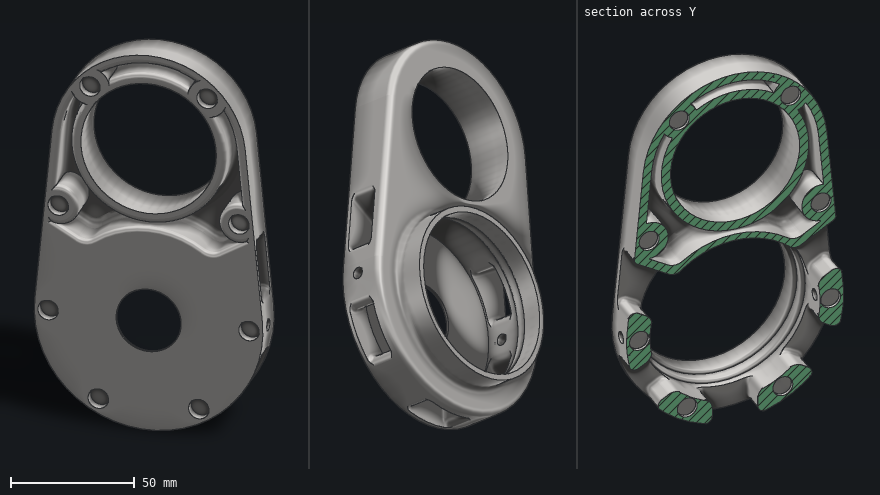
import cadquery as cq
import math

total_height = 163.6
main_diameter = 95.7
axis_spacing = 75.1
slab_depth = 20.1
total_depth = 32.0
edge_round = 3.0

main_radius = main_diameter / 2
ring_radius = total_height - main_radius - axis_spacing
ring_center = (0, axis_spacing)
side_tilt = math.asin((main_radius - ring_radius) / axis_spacing)
side_normal = (math.cos(side_tilt), math.sin(side_tilt))

front_bore_radius = 13.5
front_wall = 1.1
tube_radius = 36.8
tube_bore_radius = 34.4
bore_step = 1.5
tube_bore_start = 24.4
seat_end = 19.3
seat_radius = tube_bore_radius + bore_step
cavity_radius = seat_radius + bore_step
ring_bore_radius = 28.3

pocket_depth = 16.4
rim_width = 4.0
lip_round = 2.0
floor_round = 3.3
ring_wall_radius = 32.5
pocket_arc_radius = 40.4
pocket_corner_round = 6.0
pocket_line_angle = 30
pocket_line_offset = 13.7
boss_radius = 8.5
end_boss_radius = 8.2
boss_overlap = 0.8

screw_radius = 4.3
screw_depth = 4.3
main_bolt_circle = 42.0
ring_bolt_circle = 34.7
boss_x = 37.8
boss_z = 46.1

window_middle = 8.3
window_width = 12.8
window_half_span = 10.1
window_corner = 2.0
window_outer_round = 3.0
window_inner_round = 4.9
window_overrun = 4.9
cross_hole_radius = 2.5


def front_plane(y=0.0):
    """Workplane with local axes X and Z; negative extrusions run towards +Y."""
    return cq.Workplane("XZ", origin=(0, y, 0))


def cylinder(center, radius, y_start, y_end):
    return front_plane(y_start).center(*center).circle(radius).extrude(y_start - y_end)


def polar(radius, degrees, center=(0, 0)):
    angle = math.radians(degrees)
    return (center[0] + radius * math.cos(angle), center[1] + radius * math.sin(angle))


def mirrored(point):
    return (-point[0], point[1])


def outline_prism():
    """Two arcs joined by tangent sides, extruded to the slab depth."""
    low = (main_radius * side_normal[0], main_radius * side_normal[1])
    high = (ring_radius * side_normal[0], axis_spacing + ring_radius * side_normal[1])
    return (
        front_plane()
        .moveTo(*low)
        .lineTo(*high)
        .threePointArc((0, axis_spacing + ring_radius), mirrored(high))
        .lineTo(*mirrored(low))
        .threePointArc((0, -main_radius), low)
        .close()
        .extrude(-slab_depth)
    )


def pocket():
    """Pocket inside the rim, closed below by an arc and two lines along the upper windows."""
    wall_radius = ring_radius - rim_width
    high = (wall_radius * side_normal[0], axis_spacing + wall_radius * side_normal[1])
    line_turn = math.radians(pocket_line_angle)
    line_normal = (-math.sin(line_turn), math.cos(line_turn))
    side_offset = main_radius - rim_width
    det = side_normal[0] * line_normal[1] - side_normal[1] * line_normal[0]
    low = (
        (side_offset * line_normal[1] - side_normal[1] * pocket_line_offset) / det,
        (side_normal[0] * pocket_line_offset - side_offset * line_normal[0]) / det,
    )
    corner_angle = pocket_line_angle + math.degrees(math.asin(pocket_line_offset / pocket_arc_radius))
    corner = polar(pocket_arc_radius, corner_angle)
    solid = (
        front_plane()
        .moveTo(*low)
        .lineTo(*high)
        .threePointArc((0, axis_spacing + wall_radius), mirrored(high))
        .lineTo(*mirrored(low))
        .lineTo(*mirrored(corner))
        .threePointArc((0, pocket_arc_radius), corner)
        .close()
        .extrude(-pocket_depth)
    )
    for x, z in (corner, mirrored(corner)):
        middle = (x, pocket_depth / 2, z)
        solid = solid.edges(cq.NearestToPointSelector(middle)).fillet(pocket_corner_round)
    return solid.faces(">Y").edges().fillet(floor_round)


def ring_wall():
    """Wall round the ring bore, rounded at the front and flared into the pocket floor."""
    foot = pocket_depth - floor_round
    quarter = math.sqrt(0.5)
    return (
        cq.Workplane("XY", origin=(0, 0, axis_spacing))
        .lineTo(ring_wall_radius - lip_round, 0)
        .threePointArc(
            (ring_wall_radius - lip_round * (1 - quarter), lip_round * (1 - quarter)),
            (ring_wall_radius, lip_round),
        )
        .lineTo(ring_wall_radius, foot)
        .threePointArc(
            (ring_wall_radius + floor_round * (1 - quarter), foot + floor_round * quarter),
            (ring_wall_radius + floor_round, pocket_depth),
        )
        .lineTo(ring_wall_radius + floor_round, slab_depth - edge_round)
        .lineTo(0, slab_depth - edge_round)
        .close()
        .revolve(360, (0, 0), (0, 1))
    )


def window(angle, outer_normals):
    """Cutter through the side wall with rounded mouths; built along +X, then turned to its angle.

    outer_normals gives, for the low and high side of the window, the direction of a flat
    outer wall in degrees, or None where the outer wall is the main arc.
    """
    sides = []
    for sign, normal in zip((-1, 1), outer_normals):
        inner_center_z = window_half_span + window_inner_round
        inner_reach = cavity_radius + window_inner_round
        inner_x = math.sqrt(inner_reach**2 - inner_center_z**2)
        inner_angle = math.atan2(inner_center_z, inner_x)
        inner_mid = (math.pi * 1.5 + math.pi + inner_angle) / 2

        outer_center_z = window_half_span + window_outer_round
        outer_reach = main_radius - window_outer_round
        if normal is None:
            outer_x = math.sqrt(outer_reach**2 - outer_center_z**2)
            outer_angle = math.atan2(outer_center_z, outer_x)
        else:
            outer_angle = sign * math.radians(normal - angle)
            outer_x = (outer_reach - outer_center_z * math.sin(outer_angle)) / math.cos(outer_angle)
        outer_mid = (outer_angle - math.pi / 2) / 2

        def on_inner(turn, reach=window_inner_round):
            x = inner_x + reach * math.cos(turn)
            z = inner_center_z + reach * math.sin(turn)
            return (x, sign * z)

        def on_outer(turn, reach=window_outer_round):
            x = outer_x + reach * math.cos(turn)
            z = outer_center_z + reach * math.sin(turn)
            return (x, sign * z)

        sides.append([
            on_inner(math.pi + inner_angle, window_inner_round + window_overrun),
            on_inner(math.pi + inner_angle),
            on_inner(inner_mid),
            (inner_x, sign * window_half_span),
            (outer_x, sign * window_half_span),
            on_outer(outer_mid),
            on_outer(outer_angle),
            on_outer(outer_angle, window_outer_round + window_overrun),
        ])
    low, high = sides
    y_start = window_middle - window_width / 2
    cutter = (
        front_plane(y_start)
        .moveTo(*low[0])
        .lineTo(*low[1])
        .threePointArc(low[2], low[3])
        .lineTo(*low[4])
        .threePointArc(low[5], low[6])
        .lineTo(*low[7])
        .lineTo(*high[7])
        .lineTo(*high[6])
        .threePointArc(high[5], high[4])
        .lineTo(*high[3])
        .threePointArc(high[2], high[1])
        .lineTo(*high[0])
        .close()
        .extrude(-window_width)
    )
    wall_x = (low[3][0] + low[4][0]) / 2
    for sign in (-1, 1):
        for y in (y_start, y_start + window_width):
            edge = cq.NearestToPointSelector((wall_x, y, sign * window_half_span))
            cutter = cutter.edges(edge).fillet(window_corner)
    return cutter.rotate((0, 0, 0), (0, 1, 0), -angle)


slab = outline_prism().faces(">Y").edges().fillet(edge_round)
body = slab.cut(pocket())
mouth = body.faces("<Y").val().innerWires()[0].Edges()
body = body.newObject(mouth).fillet(lip_round)

boss_centers = [(-boss_x, boss_z), (boss_x, boss_z)]
ring_bolts = [polar(ring_bolt_circle, angle, ring_center) for angle in (45, 135)]
boss_end = pocket_depth + boss_overlap
islands = ring_wall()
for center in boss_centers:
    boss = cylinder(center, boss_radius, 0, boss_end).faces("<Y").edges().fillet(lip_round)
    islands = islands.union(boss)
for center in ring_bolts:
    islands = islands.union(cylinder(center, end_boss_radius, 0, boss_end))
body = body.union(islands.intersect(slab))

tube = (
    cq.Workplane("XY")
    .moveTo(0, pocket_depth)
    .lineTo(tube_radius + edge_round, pocket_depth)
    .lineTo(tube_radius + edge_round, slab_depth)
    .radiusArc((tube_radius, slab_depth + edge_round), edge_round)
    .lineTo(tube_radius, total_depth)
    .lineTo(0, total_depth)
    .close()
    .revolve(360, (0, 0), (0, 1))
)
body = body.union(tube)

cavity = (
    cq.Workplane("XY")
    .moveTo(0, front_wall)
    .lineTo(cavity_radius, front_wall)
    .lineTo(cavity_radius, seat_end - bore_step)
    .radiusArc((seat_radius, seat_end), bore_step)
    .lineTo(seat_radius, tube_bore_start - bore_step)
    .radiusArc((tube_bore_radius, tube_bore_start), bore_step)
    .lineTo(tube_bore_radius, total_depth)
    .lineTo(0, total_depth)
    .close()
    .revolve(360, (0, 0), (0, 1))
)
body = body.cut(cavity)
body = body.cut(cylinder((0, 0), front_bore_radius, 0, total_depth))
body = body.cut(cylinder(ring_center, ring_bore_radius, 0, slab_depth))

main_bolts = [polar(main_bolt_circle, angle) for angle in (180, 240, 300, 360)]
for center in main_bolts + ring_bolts + boss_centers:
    body = body.cut(cylinder(center, screw_radius, 0, screw_depth))

right_side = math.degrees(side_tilt)
left_side = 180 - right_side
for angle, outer_normals in (
    (30, (right_side, right_side)),
    (150, (left_side, left_side)),
    (210, (None, None)),
    (270, (None, None)),
    (330, (None, None)),
):
    body = body.cut(window(angle, outer_normals))
cross_hole = (
    cq.Workplane("YZ", origin=(-main_radius, 0, 0))
    .center(window_middle, 0)
    .circle(cross_hole_radius)
    .extrude(main_diameter)
)
result = body.cut(cross_hole)